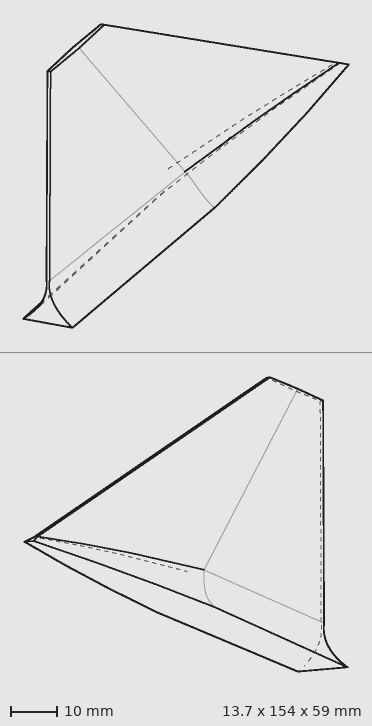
import cadquery as cq

length = 154.0
height = 59.0
base_width = 13.7

edge_half = 0.39
tip_ridge_half = 0.7
root_ridge_half = 2.0
tip_front_y = 28.5
tip_ridge_y = 14.8
tip_rear_y = 0.6

tail_half = 5.9
nose_half = 1.1
nose_fillet_height = 1.7
tail_fillet_height = 10.2
crease_base_y = 71.6
root_ridge_y = 66.8
root_ridge_height = 9.5

crease_lower_point = (4.3, 70.7, 3.1)
crease_upper_point = (3.1, 69.2, 6.2)
base_front_point = (4.8, 112.5, 0)
root_front_point = (1.2, 109.7, 6.0)

tail_lower_half = 2.6
tail_lower_height = 3.1
tail_upper_half = 1.1
tail_upper_height = 5.5


def leading_y(z):
    """Lengthwise place of the sloping leading edge at height z."""
    return length + (tip_front_y - length) * z / height


def trailing_y(z):
    """Lengthwise place of the slightly leaning trailing edge at height z."""
    return tip_rear_y * z / height


def on_leading(x, z):
    return x, leading_y(z), z


def on_trailing(x, z):
    return x, trailing_y(z), z


def line(start, end):
    return cq.Edge.makeLine(cq.Vector(*start), cq.Vector(*end))


def curve(points):
    return cq.Edge.makeSpline([cq.Vector(*p) for p in points])


def flat_face(edges):
    return cq.Face.makeFromWires(cq.Wire.assembleEdges(edges))


def filled_face(edges):
    return cq.Face.makeNSidedSurface(edges, [])


nose_base = on_leading(nose_half, 0)
nose_root = on_leading(edge_half, nose_fillet_height)
front_tip = on_leading(edge_half, height)
ridge_tip = (tip_ridge_half, tip_ridge_y, height)
ridge_root = (root_ridge_half, root_ridge_y, root_ridge_height)
crease_base = (base_width / 2, crease_base_y, 0)
rear_tip = on_trailing(edge_half, height)
rear_root = on_trailing(edge_half, tail_fillet_height)
rear_base = on_trailing(tail_half, 0)

nose_center = on_leading(0, 0)
front_tip_center = on_leading(0, height)
rear_tip_center = on_trailing(0, height)
rear_center = on_trailing(0, 0)

nose_profile = line(nose_base, nose_root)
crease_profile = curve([crease_base, crease_lower_point, crease_upper_point, ridge_root])
tail_lower_point = on_trailing(tail_lower_half, tail_lower_height)
tail_upper_point = on_trailing(tail_upper_half, tail_upper_height)
tail_profile = curve([rear_base, tail_lower_point, tail_upper_point, rear_root])

base_front = curve([crease_base, base_front_point, nose_base])
root_front = curve([ridge_root, root_front_point, nose_root])
base_rear = line(rear_base, crease_base)

ridge = line(ridge_root, ridge_tip)
leading = line(nose_root, front_tip)
trailing = line(rear_root, rear_tip)
tip_front = line(ridge_tip, front_tip)
tip_rear = line(rear_tip, ridge_tip)

nose_end = line(nose_center, nose_base)
tail_end = line(rear_center, rear_base)
front_tip_end = line(front_tip, front_tip_center)
rear_tip_end = line(rear_tip, rear_tip_center)
center_base = line(rear_center, nose_center)
center_leading = line(nose_center, front_tip_center)
center_tip = line(front_tip_center, rear_tip_center)
center_trailing = line(rear_tip_center, rear_center)

half_faces = [
    filled_face([base_front, nose_profile, root_front, crease_profile]),
    cq.Face.makeRuledSurface(tail_profile, crease_profile),
    filled_face([root_front, leading, tip_front, ridge]),
    cq.Face.makeRuledSurface(trailing, ridge),
    flat_face([nose_end, nose_profile, leading, front_tip_end, center_leading]),
    flat_face([tail_end, tail_profile, trailing, rear_tip_end, center_trailing]),
    flat_face([rear_tip_end, tip_rear, tip_front, front_tip_end, center_tip]),
    flat_face([tail_end, base_rear, base_front, nose_end, center_base]),
    flat_face([center_base, center_leading, center_tip, center_trailing]),
]

half_fin = cq.Workplane(cq.Solid.makeSolid(cq.Shell.makeShell(half_faces)))
result = half_fin.union(half_fin.mirror("YZ"))